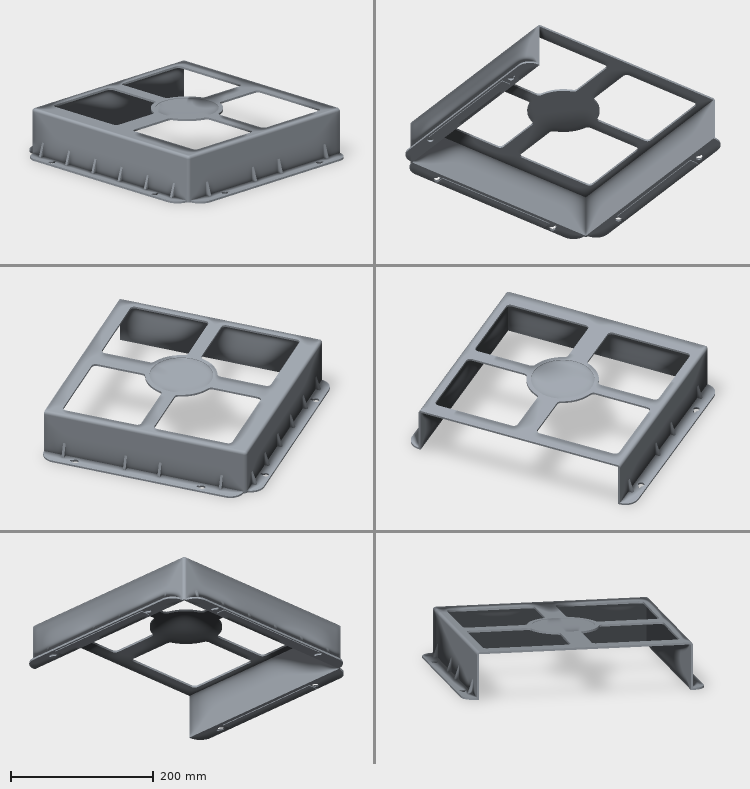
import cadquery as cq

overall_width = 349.5
overall_depth = 321.8
overall_height = 70.0
pad_thickness = 1.0
height = overall_height - pad_thickness

cover_width = 311.0
cover_depth = 304.0
wall = 3.0
edge_radius = 4.2
back_y = 148.8
front_y = back_y - cover_depth
side_x = cover_width / 2

flange_thickness = 2.8
flange_corner_radius = 20.0
flange_end_y = front_y + edge_radius
flange_end_x = side_x - edge_radius
flange_front_y = back_y - overall_depth
side_flange_mid_x = (overall_width / 2 + side_x) / 2
front_flange_mid_y = (flange_front_y + front_y) / 2

window_outer_x = 141.5
window_outer_y = 126.8
upright_width = 30.5
crossbar_width = 20.0
window_corner_radius = 6.3
hub_radius = 51.0
recess_radius = 44.7
recess_depth = 0.7

rib_thickness = 4.0
rib_height = 20.3
rib_reach = 6.5
side_rib_ys = [-118.0, -26.0, 26.0, 118.0]
front_rib_count = 6
front_rib_pitch = 51.7
front_row_shift = -2.5

keyhole_radius = 4.5
keyhole_slot_width = 4.0
keyhole_slot_reach = 8.5
side_keyhole_ys = [-92.2, 97.8]
front_keyhole_offset = 101.5
front_keyhole_y = -165.5

pad_width = 13.5
side_pad_length = 173.3
front_pad_length = 188.0
front_pad_x = 1.5


def block(x_min, x_max, y_min, y_max, z_min, z_max):
    size = (x_max - x_min, y_max - y_min, z_max - z_min)
    return cq.Workplane("XY").box(*size, centered=False).translate((x_min, y_min, z_min))


def make_cover():
    outer = block(-side_x, side_x, front_y, back_y, 0, height)
    outer = outer.edges("|Z and <Y").fillet(edge_radius)
    outer = outer.faces(">Z").edges("not(>Y)").fillet(edge_radius)
    inner_x = side_x - wall
    return outer.cut(block(-inner_x, inner_x, front_y + wall, back_y, 0, height - wall))


def make_flanges():
    inner_x = side_x - wall
    side = block(inner_x, overall_width / 2, flange_end_y, back_y, 0, flange_thickness)
    side = side.edges("|Z and >X").fillet(flange_corner_radius)
    front = block(-flange_end_x, flange_end_x, flange_front_y, front_y + wall, 0, flange_thickness)
    front = front.edges("|Z and <Y").fillet(flange_corner_radius)
    return side.union(side.mirror("YZ")).union(front)


def make_window():
    """Window of the +X +Y quarter, cut back around the hub."""
    inner_x = upright_width / 2
    inner_y = crossbar_width / 2
    window = block(inner_x, window_outer_x, inner_y, window_outer_y, height - wall, height)
    hub = cq.Workplane("XY").circle(hub_radius).extrude(height)
    return window.cut(hub).edges("|Z").fillet(window_corner_radius)


def make_rib():
    """Rib on the origin, standing on a flange and reaching out along +X."""
    profile = [
        (-wall / 2, 0),
        (rib_reach, 0),
        (0, rib_height),
        (-wall / 2, rib_height),
    ]
    rib = cq.Workplane("XZ").polyline(profile).close().extrude(rib_thickness / 2, both=True)
    return rib.translate((0, 0, flange_thickness))


def make_keyhole(x, y):
    half_slot = keyhole_slot_width / 2
    slot_length = keyhole_slot_reach - half_slot
    hole = cq.Workplane("XY").circle(keyhole_radius).extrude(flange_thickness)
    slot = block(-half_slot, half_slot, 0, slot_length, 0, flange_thickness)
    slot_end = cq.Workplane("XY").center(0, slot_length).circle(half_slot).extrude(flange_thickness)
    return hole.union(slot).union(slot_end).translate((x, y, 0))


def make_pad(x, y, length_x, length_y):
    pad = cq.Workplane("XY").rect(length_x, length_y).extrude(-pad_thickness)
    return pad.translate((x, y, 0))


result = make_cover().union(make_flanges())

window = make_window()
window_pair = window.union(window.mirror("YZ"))
result = result.cut(window_pair).cut(window_pair.mirror("XZ"))
recess = cq.Workplane("XY").workplane(offset=height - recess_depth).circle(recess_radius).extrude(recess_depth)
result = result.cut(recess)

rib = make_rib()
for y in side_rib_ys:
    right_rib = rib.translate((side_x, y, 0))
    result = result.union(right_rib).union(right_rib.mirror("YZ"))
front_rib = rib.rotate((0, 0, 0), (0, 0, 1), -90)
for i in range(front_rib_count):
    x = front_row_shift + (i - (front_rib_count - 1) / 2) * front_rib_pitch
    result = result.union(front_rib.translate((x, front_y, 0)))

for side in (-1, 1):
    for y in side_keyhole_ys:
        result = result.cut(make_keyhole(side * side_flange_mid_x, y))
    result = result.cut(make_keyhole(front_row_shift + side * front_keyhole_offset, front_keyhole_y))

for side in (-1, 1):
    result = result.union(make_pad(side * side_flange_mid_x, 0, pad_width, side_pad_length))
result = result.union(make_pad(front_pad_x, front_flange_mid_y, front_pad_length, pad_width))